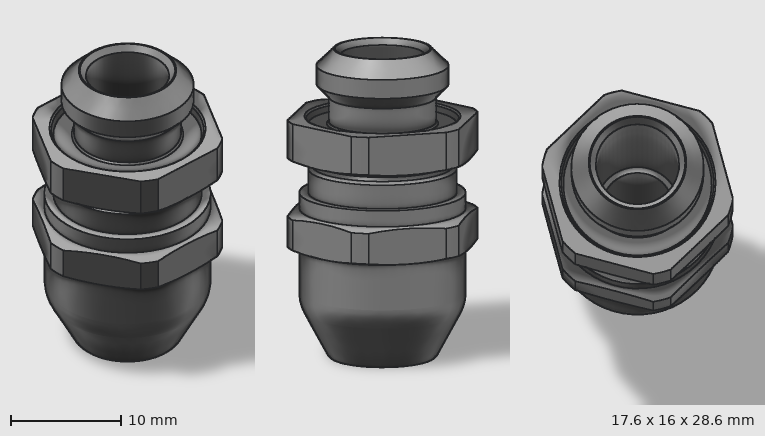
import cadquery as cq

total_height = 28.6

across_flats = 16.0
across_corners = 17.6
corner_turn = 30
nut_chamfer_inner_radius = 7.55
nut_chamfer_drop = 0.37
upper_nut_top = 22.3
upper_nut_bottom = 18.45
lower_nut_top = 13.73
lower_nut_bottom = 10.15

cap_radius = nut_chamfer_inner_radius
flange_top = 15.22
cap_shoulder_height = 5.95
cap_cone_top_height = 4.15
cap_cone_top_radius = 7.12
cap_nose_radius = 5.0
cap_edge_break = 0.2

sleeve_radius = 6.75
sleeve_top = 17.42
waist_radius = 6.18
waist_height = 18.02
waist_lip_radius = 6.38
waist_lip_offset = 0.35
waist_flare_radius = 6.55

neck_radius = 4.85
neck_top = 24.1
collar_radius = 6.0
collar_bottom = 25.3
collar_top = 27.05
rim_radius = 4.43

recess_rim_radius = 7.1
recess_floor_radius = 6.72
recess_bevel_radius = 6.92
recess_bevel_depth = 0.17
recess_depth = 0.7
neck_foot_radius = 5.05
neck_foot_height = 0.17

bore_radius = 3.23
socket_radius = 3.78
socket_depth = 14.3
countersink_radius = 4.32
countersink_depth = 0.55


def hex_nut(bottom, top, chamfer_top):
    """Hexagon with flats facing +Y and -Y, trimmed by a turned, chamfered envelope."""
    height = top - bottom
    prism = (
        cq.Workplane("XY", origin=(0, 0, bottom))
        .polygon(6, across_flats, circumscribed=True)
        .extrude(height)
        .rotate((0, 0, 0), (0, 0, 1), corner_turn)
    )
    corner_radius = across_corners / 2
    outline = [
        (0, bottom),
        (nut_chamfer_inner_radius, bottom),
        (corner_radius, bottom + nut_chamfer_drop),
    ]
    if chamfer_top:
        outline += [(corner_radius, top - nut_chamfer_drop), (nut_chamfer_inner_radius, top)]
    else:
        outline += [(corner_radius, top)]
    outline.append((0, top))
    envelope = cq.Workplane("XZ").polyline(outline).close().revolve(360, (0, 0), (0, 1))
    return prism.intersect(envelope)


def turned_body():
    """Solid of revolution from the cap nose up to the collar rim."""
    profile = (
        cq.Workplane("XZ")
        .moveTo(0, 0)
        .lineTo(cap_nose_radius - cap_edge_break, 0)
        .lineTo(cap_nose_radius, cap_edge_break)
        .lineTo(cap_cone_top_radius, cap_cone_top_height)
        .tangentArcPoint((cap_radius, cap_shoulder_height), relative=False)
        .lineTo(cap_radius, flange_top)
        .lineTo(sleeve_radius, flange_top)
        .lineTo(sleeve_radius, sleeve_top)
        .lineTo(waist_lip_radius, waist_height - waist_lip_offset)
        .lineTo(waist_radius, waist_height)
        .lineTo(waist_lip_radius, waist_height + waist_lip_offset)
        .lineTo(waist_flare_radius, upper_nut_bottom)
        .lineTo(neck_radius, upper_nut_bottom)
        .lineTo(neck_radius, neck_top)
        .lineTo(collar_radius, collar_bottom)
        .lineTo(collar_radius, collar_top)
        .lineTo(rim_radius, total_height)
        .lineTo(0, total_height)
        .close()
    )
    return profile.revolve(360, (0, 0), (0, 1))


def nut_recess():
    """Ring removed from the upper nut, with a bevelled rim and a bevelled foot around the neck."""
    floor = upper_nut_top - recess_depth
    outline = [
        (neck_radius, upper_nut_top),
        (neck_radius, floor + neck_foot_height),
        (neck_foot_radius, floor),
        (recess_floor_radius, floor),
        (recess_bevel_radius, upper_nut_top - recess_bevel_depth),
        (recess_rim_radius, upper_nut_top),
    ]
    return cq.Workplane("XZ").polyline(outline).close().revolve(360, (0, 0), (0, 1))


def stepped_bore():
    """Through hole with a wider socket and a countersunk mouth."""
    outline = [
        (0, 0),
        (bore_radius, 0),
        (bore_radius, total_height - socket_depth),
        (socket_radius, total_height - socket_depth),
        (socket_radius, total_height - countersink_depth),
        (countersink_radius, total_height),
        (0, total_height),
    ]
    return cq.Workplane("XZ").polyline(outline).close().revolve(360, (0, 0), (0, 1))


upper_nut = hex_nut(upper_nut_bottom, upper_nut_top, chamfer_top=False).cut(nut_recess())
lower_nut = hex_nut(lower_nut_bottom, lower_nut_top, chamfer_top=True)
result = turned_body().union(upper_nut).union(lower_nut).cut(stepped_bore())